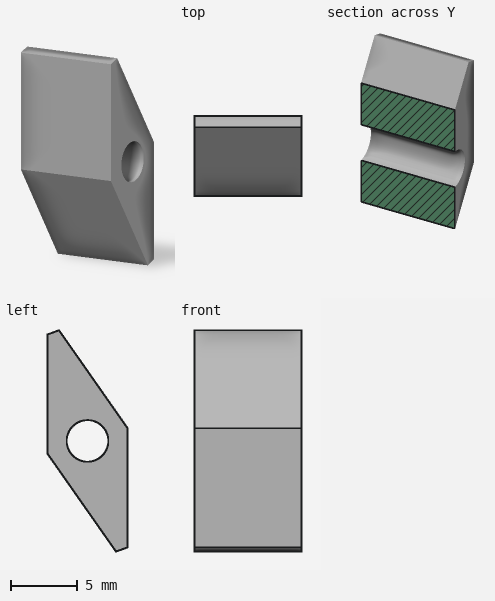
import cadquery as cq
import math

width = 8.0
thickness = 6.0
height = 16.56
hole_diameter = 3.1
slant_angle = 35.0
tip_flat_depth = 0.87
tip_flat_angle = 20.0

half_thickness = thickness / 2
tip_y = half_thickness - tip_flat_depth
tip_z = height / 2
back_corner_z = tip_z - tip_flat_depth * math.tan(math.radians(tip_flat_angle))
front_corner_z = tip_z - (tip_y + half_thickness) / math.tan(math.radians(slant_angle))

upper_points = [
    (half_thickness, back_corner_z),
    (tip_y, tip_z),
    (-half_thickness, front_corner_z),
]
lower_points = [(-y, -z) for y, z in upper_points]


def make_body():
    """Skewed six-sided profile in the YZ plane, extruded along X."""
    profile = cq.Workplane("YZ").polyline(upper_points + lower_points).close()
    return profile.extrude(width / 2, both=True)


def make_hole():
    """Through hole along X at the centre of the profile."""
    return cq.Workplane("YZ").circle(hole_diameter / 2).extrude(width / 2, both=True)


result = make_body().cut(make_hole())